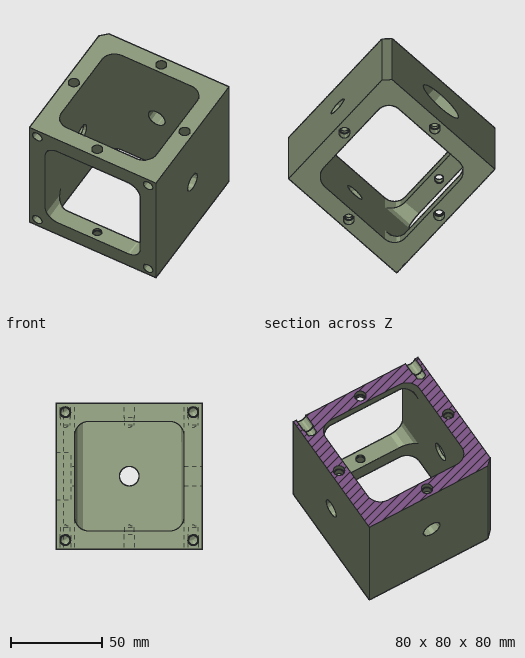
import cadquery as cq
import math

side = 80.0
half = side / 2
wall = 10.0
opening = side - 2 * wall
corner_radius = 8.0
edge_chamfer = 4.0

bore_diameter = 10.6
recess_diameter = 26.0
recess_depth = 8.0

thread_diameter = 6.0
thread_depth = 8.0
drill_diameter = 5.0
drill_depth = 12.0
drill_point_angle = 118.0
screw_offset = half - wall / 2


def rounded_prism(length):
    """Square prism along Z with rounded edges, standing on the origin."""
    prism = cq.Workplane("XY").rect(opening, opening).extrude(length)
    return prism.edges("|Z").fillet(corner_radius)


def screw_hole(mouth, direction):
    """Cutter for a stepped blind hole running from mouth along direction."""
    start = cq.Vector(*mouth)
    axis = cq.Vector(*direction)
    drill_radius = drill_diameter / 2
    point_length = drill_radius / math.tan(math.radians(drill_point_angle / 2))
    thread = cq.Solid.makeCylinder(thread_diameter / 2, thread_depth, start, axis)
    drill = cq.Solid.makeCylinder(drill_radius, drill_depth, start, axis)
    point = cq.Solid.makeCone(drill_radius, 0, point_length, start + axis * drill_depth, axis)
    return cq.Workplane(thread).union(drill).union(point)


result = cq.Workplane("XY").box(side, side, side)
result = result.edges("|Z and <X and >Y").chamfer(edge_chamfer)

result = result.cut(rounded_prism(side).translate((0, 0, -half)))
window = rounded_prism(half).rotate((0, 0, 0), (1, 0, 0), 90)
result = result.cut(window)

x_bore = cq.Workplane("YZ").circle(bore_diameter / 2).extrude(half, both=True)
recess = cq.Workplane("YZ", origin=(-half, 0, 0)).circle(recess_diameter / 2).extrude(recess_depth)
result = result.cut(x_bore).cut(recess)

rear_bore = cq.Workplane("XZ").circle(bore_diameter / 2).extrude(-half)
result = result.cut(rear_bore)

for x in (-screw_offset, screw_offset):
    for z in (-screw_offset, screw_offset):
        result = result.cut(screw_hole((x, -half, z), (0, 1, 0)))

for end in (-1, 1):
    for x, y in ((-screw_offset, 0), (screw_offset, 0), (0, -screw_offset), (0, screw_offset)):
        result = result.cut(screw_hole((x, y, end * half), (0, 0, -end)))